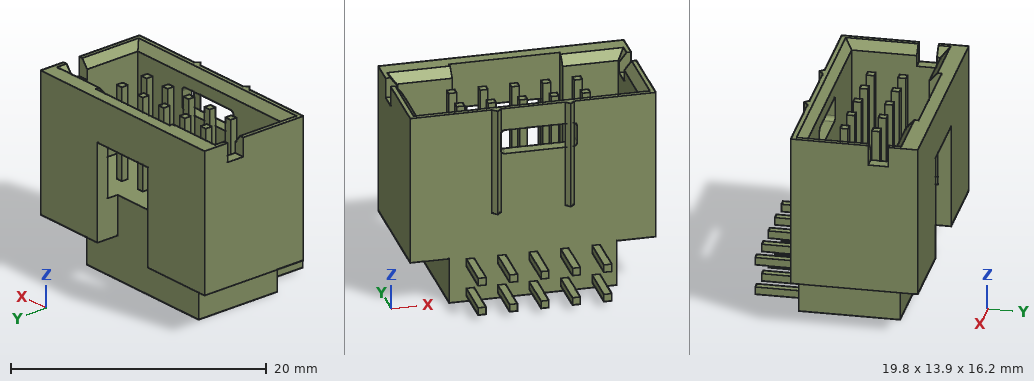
import cadquery as cq
body_width = 19.81
body_depth = 10.15
total_height = 16.22
foot_width = 13.53
foot_depth = 8.08
foot_height = 3.8

side_wall = 0.97
front_wall = 1.0
rear_wall = body_depth - foot_depth
cavity_depth = 8.91
chamfer_width = 0.6
rear_chamfer_width = 0.67
chamfer_height = 0.75

recess_width = 8.91
recess_wall = 1.05
rear_window_width = 6.06
rear_window_drop = 3.8

notch_rear = 2.35
notch_length = 1.6
notch_depth = 1.66

front_window_width = 6.18
front_window_height = 2.02
front_window_center = 0.48
front_window_drop = 1.86
front_window_radius = 0.35

rib_offset = 2.95
rib_half_width = 0.38
rib_length = 8.87

pins_per_row = 5
pitch = 2.54
pin_size = 0.63
contact_top_drop = 0.83
contact_rear = 4.28
tail_length = 3.76
lower_tail_height = 0.8

floor_height = total_height - cavity_depth
cavity_width = body_width - 2 * side_wall
cavity_rear = body_depth - rear_wall


def box(x_min, x_max, y_min, y_max, z_min, z_max):
    """Axis-aligned block between the given limits."""
    block = cq.Workplane("XY").box(x_max - x_min, y_max - y_min, z_max - z_min, centered=False)
    return block.translate((x_min, y_min, z_min))


def centered_box(width, y_min, y_max, z_min, z_max):
    """Block that is symmetric about the middle in X."""
    return box(-width / 2, width / 2, y_min, y_max, z_min, z_max)


def make_housing():
    """Wide upper body standing on a narrower foot, flush at the front."""
    upper = centered_box(body_width, 0, body_depth, foot_height, total_height)
    foot = centered_box(foot_width, 0, foot_depth, 0, foot_height)
    return upper.union(foot)


def make_cavity():
    """Rectangular well with a lead-in chamfer around its mouth."""
    well = centered_box(cavity_width, front_wall, cavity_rear, floor_height, total_height)
    mouth_width = cavity_width + 2 * chamfer_width
    mouth_front = front_wall - chamfer_width
    mouth_rear = cavity_rear + rear_chamfer_width
    lead_in = (
        cq.Workplane("XY", origin=(0, 0, total_height - chamfer_height))
        .center(0, (front_wall + cavity_rear) / 2)
        .rect(cavity_width, cavity_rear - front_wall)
        .workplane(offset=chamfer_height)
        .center(0, (mouth_front + mouth_rear - front_wall - cavity_rear) / 2)
        .rect(mouth_width, mouth_rear - mouth_front)
        .loft(ruled=True)
    )
    return well.union(lead_in)


def make_rear_opening():
    """Keying recess in the rear wall, with a window that runs out through the floor and the back."""
    recess_rear = body_depth - recess_wall
    recess = centered_box(recess_width, cavity_rear, recess_rear, floor_height, total_height)
    window_top = total_height - rear_window_drop
    window = centered_box(rear_window_width, cavity_rear, body_depth, foot_height, window_top)
    return recess.union(window)


def make_side_notches():
    """Notch across both side walls, open at the top."""
    rear = body_depth - notch_rear
    return centered_box(body_width, rear - notch_length, rear, total_height - notch_depth, total_height)


def make_front_window():
    """Round-cornered window through the front wall."""
    top = total_height - front_window_drop
    left = front_window_center - front_window_width / 2
    right = front_window_center + front_window_width / 2
    window = box(left, right, 0, front_wall, top - front_window_height, top)
    return window.edges("|Y").fillet(front_window_radius)


def make_rib(x_center):
    """Vertical 90 degree ridge on the front face."""
    return (
        cq.Workplane("XY", origin=(x_center, 0, total_height - rib_length))
        .moveTo(-rib_half_width, 0)
        .lineTo(rib_half_width, 0)
        .lineTo(0, -rib_half_width)
        .close()
        .extrude(rib_length)
    )


def make_pins(x_center):
    """Two upright contacts and the two horizontal tails below them."""
    half = pin_size / 2
    left = x_center - half
    right = x_center + half
    pins = cq.Workplane("XY")
    for row in range(2):
        contact_y = body_depth - contact_rear - row * pitch
        tail_z = lower_tail_height + row * pitch
        contact_top = total_height - contact_top_drop
        contact = box(left, right, contact_y - half, contact_y + half, tail_z, contact_top)
        tail = box(left, right, -tail_length, contact_y, tail_z - half, tail_z + half)
        pins = pins.union(contact).union(tail)
    return pins


result = make_housing()
for opening in (make_cavity(), make_rear_opening(), make_side_notches(), make_front_window()):
    result = result.cut(opening)
for side in (-1, 1):
    result = result.union(make_rib(side * rib_offset))
for index in range(pins_per_row):
    result = result.union(make_pins((index - (pins_per_row - 1) / 2) * pitch))